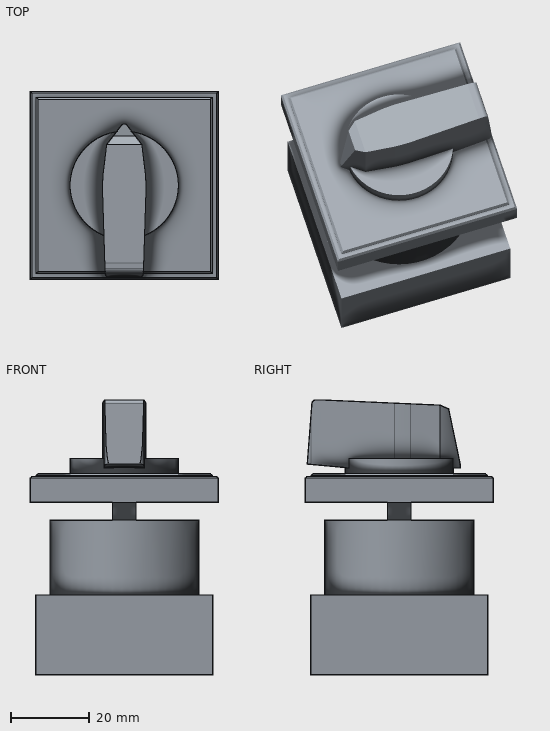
import cadquery as cq

base_height = 20.4
drum_top = 39.5
plate_bottom = 44.0
plate_top = 50.7
label_top = 51.4
disc_top = 55.25
overall_height = 70.2

base_width = 45.2
drum_diameter = 38.05
shaft_width = 6.1
plate_width = 48.0
label_inset = 1.55
label_width = plate_width - 2 * label_inset
rim_chamfer = 0.5
disc_diameter = 27.65

pointer_apex_y = 16.3
pointer_tip_radius = 0.9
shoulder_y = 10.4
shoulder_half_width = 4.5
bulge_start_y = 2.8
bulge_start_half_width = 5.4
bulge_end_y = -1.25
grip_half_width = 5.55
heel_half_width = 4.85
heel_y = -23.5
heel_corner_radius = 1.05

grip_bottom = 52.8
pointer_y = 15.8
pointer_top_y = 12.65
pointer_top = 67.9
shoulder_top = 68.9
underside_bend_y = -12.8
heel_bottom = 53.8
crest_start_y = -19.9
heel_top_y = -22.25
heel_edge_radius = 1.05


def square_block(width, bottom, top):
    return cq.Workplane("XY", origin=(0, 0, bottom)).rect(width, width).extrude(top - bottom)


def cylinder(diameter, bottom, top):
    return cq.Workplane("XY", origin=(0, 0, bottom)).circle(diameter / 2).extrude(top - bottom)


def rimmed_plate(width, bottom, top):
    return square_block(width, bottom, top).faces(">Z").edges().chamfer(rim_chamfer)


def grip_plan_prism():
    """Tapered outline with a rounded pointer and rounded heel corners."""
    bulge_middle_y = (bulge_start_y + bulge_end_y) / 2
    bulge_middle_half_width = grip_half_width - (grip_half_width - bulge_start_half_width) / 4
    prism = (
        cq.Workplane("XY", origin=(0, 0, grip_bottom))
        .moveTo(0, pointer_apex_y)
        .lineTo(shoulder_half_width, shoulder_y)
        .lineTo(bulge_start_half_width, bulge_start_y)
        .threePointArc((bulge_middle_half_width, bulge_middle_y), (grip_half_width, bulge_end_y))
        .lineTo(heel_half_width, heel_y)
        .lineTo(-heel_half_width, heel_y)
        .lineTo(-grip_half_width, bulge_end_y)
        .threePointArc((-bulge_middle_half_width, bulge_middle_y), (-bulge_start_half_width, bulge_start_y))
        .lineTo(-shoulder_half_width, shoulder_y)
        .close()
        .extrude(overall_height - grip_bottom)
    )
    prism = prism.edges("|Z").edges(">Y").fillet(pointer_tip_radius)
    return prism.edges("|Z").edges("<Y").fillet(heel_corner_radius)


def grip_side_prism():
    """Side profile with leaning ends, a short level crest and a rounded upper heel edge."""
    profile = [
        (pointer_y, grip_bottom),
        (pointer_top_y, pointer_top),
        (shoulder_y, shoulder_top),
        (crest_start_y, overall_height),
        (heel_top_y, overall_height),
        (heel_y, heel_bottom),
        (underside_bend_y, grip_bottom),
    ]
    prism = cq.Workplane("YZ").polyline(profile).close().extrude(grip_half_width, both=True)
    return prism.edges("|X").edges(">Z").edges("<Y").fillet(heel_edge_radius)


def make_knob():
    """Round disc and the grip that crosses it, moulded in one piece."""
    disc = cylinder(disc_diameter, label_top, disc_top)
    grip = grip_plan_prism().intersect(grip_side_prism())
    return disc.union(grip)


base = square_block(base_width, 0, base_height)
drum = cylinder(drum_diameter, base_height, drum_top)
shaft = square_block(shaft_width, drum_top, plate_bottom)
front_plate = rimmed_plate(plate_width, plate_bottom, plate_top)
label_plate = rimmed_plate(label_width, plate_top, label_top)
knob = make_knob()

result = cq.Compound.makeCompound([
    base.val(),
    drum.val(),
    shaft.val(),
    front_plate.solids().val(),
    label_plate.solids().val(),
    knob.solids().val(),
])